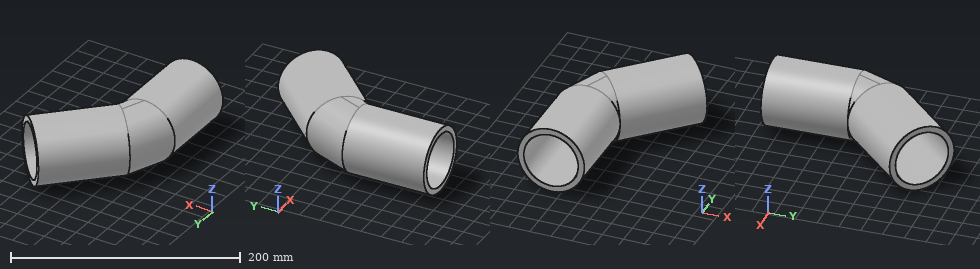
import cadquery as cq
import math

outer_diameter = 63.0
wall = 5.8
inlet_length = 79.8
outlet_length = 81.8
bend_angle = 45

outer_radius = outer_diameter / 2
bore_radius = outer_radius - wall

pivot_x = outer_radius
half_angle = math.radians(bend_angle / 2)


def turn_about_pivot(body, degrees):
    """Turn a body clockwise, seen from above, about the pivot line."""
    return body.rotate((pivot_x, 0, 0), (pivot_x, 0, 1), -degrees)


def straight_legs(radius):
    """Inlet and outlet rods of the given radius."""
    inlet = cq.Workplane("XZ").circle(radius).extrude(inlet_length)
    outlet = cq.Workplane("XZ").circle(radius).extrude(-outlet_length)
    return inlet, turn_about_pivot(outlet, bend_angle)


def outer_bend():
    """Straight elliptical segment between the joint planes, flush with both legs."""
    half_width = outer_radius * math.cos(half_angle)
    reach = 2 * outer_diameter
    segment = (
        cq.Workplane("XZ", origin=(0, reach, 0))
        .center(pivot_x - half_width, 0)
        .ellipse(half_width, outer_radius)
        .extrude(2 * reach)
    )
    wedge_rise = reach * math.tan(half_angle)
    wedge = (
        cq.Workplane("XY")
        .moveTo(pivot_x, 0)
        .lineTo(pivot_x - reach, wedge_rise)
        .lineTo(pivot_x - reach, -wedge_rise)
        .close()
        .extrude(outer_diameter, both=True)
    )
    return turn_about_pivot(segment.intersect(wedge), bend_angle / 2)


def bore():
    """Round bore that follows a circular arc through the bend."""
    inlet, outlet = straight_legs(bore_radius)
    bend = cq.Workplane("XZ").circle(bore_radius).revolve(bend_angle, (pivot_x, 1.8, 0), (pivot_x, 0, 0))
    return inlet.union(bend).union(outlet)


inlet_leg, outlet_leg = straight_legs(outer_radius)
result = inlet_leg.union(outer_bend()).union(outlet_leg).cut(bore())